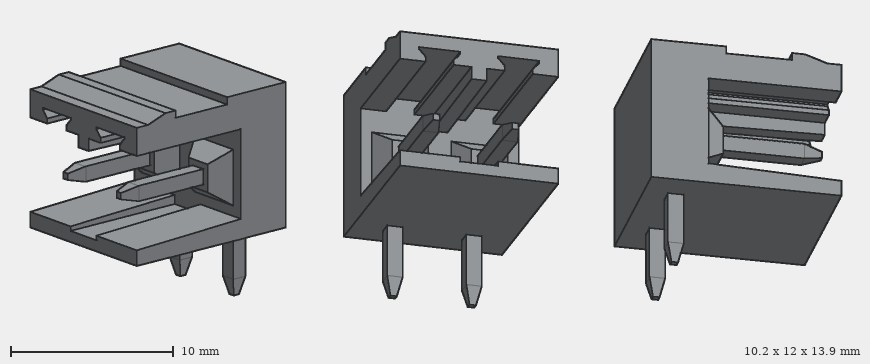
import cadquery as cq


width = 10.16
pin_count = 2
pitch = width / pin_count
depth = 12.0
height = 9.4
overall_height = 13.9
back_wall = 3.61
cavity_depth = depth - back_wall

upper_wall = 2.3
top_relief = 0.47
rear_land = 4.73
ridge_back = 3.11
ridge_crest = 2.31
ridge_foot = 0.9

floor_front = 1.01
floor_back = 1.3
channel_width = 2.46
channel_floor = 0.72

groove_neck = 1.81
groove_width = 2.64
groove_depth = 0.92
groove_lip = 0.33
groove_side = 0.13

rib_width = 0.97
rib_drop_front = 0.8
rib_drop_back = 0.95

collar_base = 3.63
collar_top = 1.81
collar_length = 1.3

pin_size = 1.0
tip_size = 0.42
tip_length = 1.2
pin_axis_z = 3.8
pin_front = 0.7
leg_from_back = 2.02
leg_axis_y = depth - leg_from_back
leg_bottom = height - overall_height

ceiling = height - upper_wall
pin_places = [(i - (pin_count - 1) / 2) * pitch for i in range(pin_count)]


def side_prism(points, prism_width):
    """Extrude a (Y, Z) outline along X, centred on X = 0."""
    return cq.Workplane("YZ").polyline(points).close().extrude(prism_width / 2, both=True)


def square_frustum(plane, base, top, length):
    """Square frustum growing along the plane normal."""
    return (
        cq.Workplane(plane)
        .rect(base, base)
        .workplane(offset=length)
        .rect(top, top)
        .loft(ruled=True)
    )


def forward_plane(x, y):
    """Plane on the pin axis whose normal points out of the open face."""
    return cq.Plane(origin=(x, y, pin_axis_z), xDir=(1, 0, 0), normal=(0, -1, 0))


def make_shell():
    """C-shaped profile with the top relief, latch ridge and tapered lower wall."""
    relief_z = height - top_relief
    return side_prism(
        [
            (0, 0),
            (depth, 0),
            (depth, height),
            (depth - rear_land, height),
            (depth - rear_land, relief_z),
            (ridge_back, relief_z),
            (ridge_back, height),
            (ridge_crest, height),
            (ridge_foot, relief_z),
            (0, relief_z),
            (0, ceiling),
            (cavity_depth, ceiling),
            (cavity_depth, floor_back),
            (0, floor_front),
        ],
        width,
    )


def make_floor_channel():
    """Flat-bottomed cutter along the middle of the lower wall."""
    return cq.Workplane("XY").box(
        channel_width, cavity_depth, ceiling - channel_floor, centered=(True, False, False)
    ).translate((0, 0, channel_floor))


def make_groove(x):
    """Dovetail cutter running from the open face to the back wall."""
    neck = groove_neck / 2
    wide = groove_width / 2
    lip_z = ceiling + groove_lip
    side_z = ceiling + groove_depth - groove_side
    top_z = ceiling + groove_depth
    return (
        cq.Workplane("XZ")
        .polyline(
            [
                (-neck, ceiling),
                (-neck, lip_z),
                (-wide, side_z),
                (-wide, top_z),
                (wide, top_z),
                (wide, side_z),
                (neck, lip_z),
                (neck, ceiling),
            ]
        )
        .close()
        .extrude(-cavity_depth)
        .translate((x, 0, 0))
    )


def make_coding_rib():
    """Rib under the upper wall that deepens toward the back wall."""
    return side_prism(
        [
            (0, ceiling),
            (cavity_depth, ceiling),
            (cavity_depth, ceiling - rib_drop_back),
            (0, ceiling - rib_drop_front),
        ],
        rib_width,
    )


def make_collar(x):
    """Tapered collar standing on the back wall."""
    return square_frustum(forward_plane(x, cavity_depth), collar_base, collar_top, collar_length)


def make_pin(x):
    """Square pin bent at a right angle, tapered at both ends."""
    half = pin_size / 2
    contact_start = pin_front + tip_length
    leg_end = leg_bottom + tip_length
    shank = side_prism(
        [
            (contact_start, pin_axis_z - half),
            (leg_axis_y - half, pin_axis_z - half),
            (leg_axis_y - half, leg_end),
            (leg_axis_y + half, leg_end),
            (leg_axis_y + half, pin_axis_z + half),
            (contact_start, pin_axis_z + half),
        ],
        pin_size,
    ).translate((x, 0, 0))
    contact_tip = square_frustum(forward_plane(x, contact_start), pin_size, tip_size, tip_length)
    leg_plane = cq.Plane(origin=(x, leg_axis_y, leg_end), xDir=(1, 0, 0), normal=(0, 0, -1))
    leg_tip = square_frustum(leg_plane, pin_size, tip_size, tip_length)
    return shank.union(contact_tip).union(leg_tip)


def make_housing(pins):
    """Shell with its channel, rib, grooves and collars, bored to fit the pins."""
    body = make_shell().cut(make_floor_channel()).union(make_coding_rib())
    for x in pin_places:
        body = body.cut(make_groove(x)).union(make_collar(x))
    for pin in pins:
        body = body.cut(pin)
    return body


pins = [make_pin(x) for x in pin_places]
housing = make_housing(pins)

result = cq.Compound.makeCompound([housing.val(), *[pin.val() for pin in pins]])